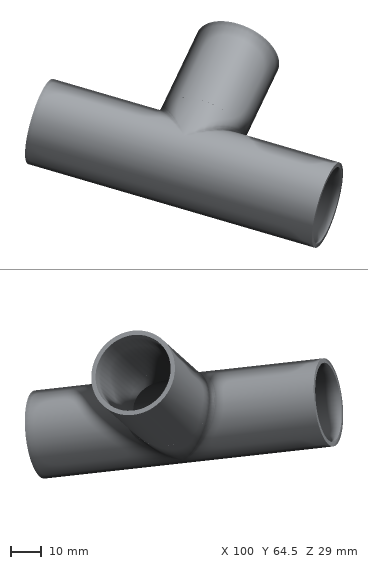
import cadquery as cq

tube_diameter = 29.0
bore_diameter = 26.0
run_length = 100.0
branch_reach = 50.0
collar_length = 1.5
weld_radius = 1.5

joint_y = tube_diameter / 2 + collar_length
branch_length = branch_reach - joint_y

half_turn = 180.0


def run_cylinder(diameter):
    """Cylinder along X over the full run, with its seam on the -Y side."""
    cylinder = cq.Workplane("YZ").circle(diameter / 2).extrude(run_length / 2, both=True)
    return cylinder.rotate((0, 0, 0), (1, 0, 0), half_turn)


def branch_cylinder(diameter, length, start_y=0.0):
    """Cylinder along +Y with its near end at start_y and its seam on the -X side."""
    cylinder = cq.Workplane("XZ", origin=(0, start_y, 0)).circle(diameter / 2).extrude(-length)
    return cylinder.rotate((0, 0, 0), (0, 1, 0), half_turn)


def make_tee():
    """Run tube with a short branch collar, filleted where they meet and bored both ways."""
    outside = run_cylinder(tube_diameter).union(branch_cylinder(tube_diameter, branch_reach))
    outside = outside.edges("%ELLIPSE").fillet(weld_radius)
    beyond_joint = branch_cylinder(2 * tube_diameter, branch_reach, joint_y)
    run_bore = run_cylinder(bore_diameter)
    branch_bore = branch_cylinder(bore_diameter, branch_reach)
    return outside.cut(beyond_joint).cut(run_bore).cut(branch_bore)


def make_branch_tube():
    """Tube that butts against the collar and continues the branch."""
    outside = branch_cylinder(tube_diameter, branch_length, joint_y)
    bore = branch_cylinder(bore_diameter, branch_length, joint_y)
    return outside.cut(bore)


tee = make_tee()
branch_tube = make_branch_tube()

result = cq.Compound.makeCompound([tee.solids().val(), branch_tube.solids().val()])